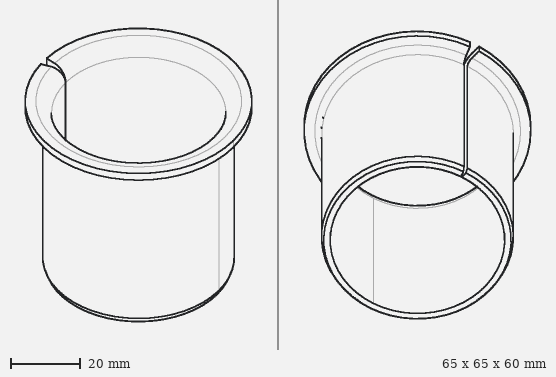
import cadquery as cq
import math

flange_diameter = 65.0
body_diameter = 55.0
bore_diameter = 50.0
length = 60.0
mouth_radius = 4.5
chamfer_height = 1.75
chamfer_angle = 20.0
slit_width = 0.2
notch_width = 3.0

flange_radius = flange_diameter / 2
body_radius = body_diameter / 2
bore_radius = bore_diameter / 2
wall = body_radius - bore_radius
neck_radius = mouth_radius - wall
chamfer_width = chamfer_height * math.tan(math.radians(chamfer_angle))
bend_x = bore_radius + mouth_radius
bend_z = length - mouth_radius
diagonal = math.sqrt(0.5)


def bend_middle(radius):
    """Midpoint of a quarter arc around the bend centre."""
    return (bend_x - radius * diagonal, bend_z + radius * diagonal)


def flanged_sleeve():
    """Revolve the constant-thickness wall of the sleeve and its flange."""
    return (
        cq.Workplane("XZ")
        .moveTo(bore_radius, 0)
        .lineTo(bore_radius, bend_z)
        .threePointArc(bend_middle(mouth_radius), (bend_x, length))
        .lineTo(flange_radius, length)
        .lineTo(flange_radius, length - wall)
        .lineTo(bend_x, length - wall)
        .threePointArc(bend_middle(neck_radius), (body_radius, bend_z))
        .lineTo(body_radius, chamfer_height)
        .lineTo(body_radius - chamfer_width, 0)
        .close()
        .revolve(360, (0, 0), (0, 1))
    )


def tapered_slit():
    """Full-height cutter on the -X side, widening from the bore to the rim."""
    return (
        cq.Workplane("XY")
        .polyline([
            (0, -slit_width / 2),
            (-bore_radius, -slit_width / 2),
            (-flange_radius, -notch_width / 2),
            (-flange_radius, notch_width / 2),
            (-bore_radius, slit_width / 2),
            (0, slit_width / 2),
        ])
        .close()
        .extrude(length)
    )


result = flanged_sleeve().cut(tapered_slit())